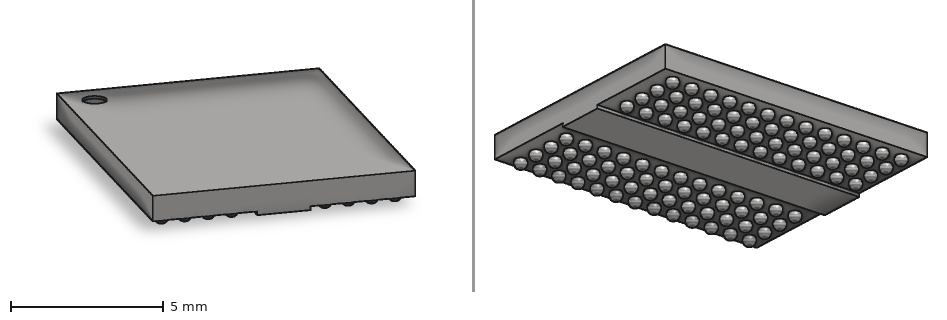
import cadquery as cq

length = 11.0
width = 9.0
overall_height = 1.23
ball_protrusion = 0.34
body_height = overall_height - ball_protrusion

columns = 13
column_span = 9.6
pitch = column_span / (columns - 1)
ball_diameter = 0.46
ball_radius = ball_diameter / 2
inner_row = 2
outer_row = 5

strip_width = 1.83
strip_height = 0.13

marker_diameter = 0.8
marker_depth = 0.1
marker_inset_x = 1.0
marker_inset_y = 1.0


def make_body():
    """Flat rectangular body with its underside at Z = 0."""
    return cq.Workplane("XY").box(length, width, body_height, centered=(True, True, False))


def make_strip():
    """Full-length strip hanging below the body."""
    return cq.Workplane("XY").rect(length, strip_width).extrude(-strip_height)


def make_marker():
    """Round cutter for the recess near the -X, -Y corner."""
    return (
        cq.Workplane("XY", origin=(0, 0, body_height))
        .center(marker_inset_x - length / 2, marker_inset_y - width / 2)
        .circle(marker_diameter / 2)
        .extrude(-marker_depth)
    )


def ball_centers():
    """Ball positions, symmetric about both centre lines."""
    rows = range(inner_row, outer_row + 1)
    return [
        ((column - (columns - 1) / 2) * pitch, side * row * pitch)
        for column in range(columns)
        for side in (-1, 1)
        for row in rows
    ]


def make_balls():
    """Spheres partly sunk into the underside of the body."""
    center_height = ball_radius - ball_protrusion
    return (
        cq.Workplane("XY", origin=(0, 0, center_height))
        .pushPoints(ball_centers())
        .sphere(ball_radius, combine=False)
    )


body = make_body().union(make_strip()).cut(make_marker())
result = body.union(make_balls())